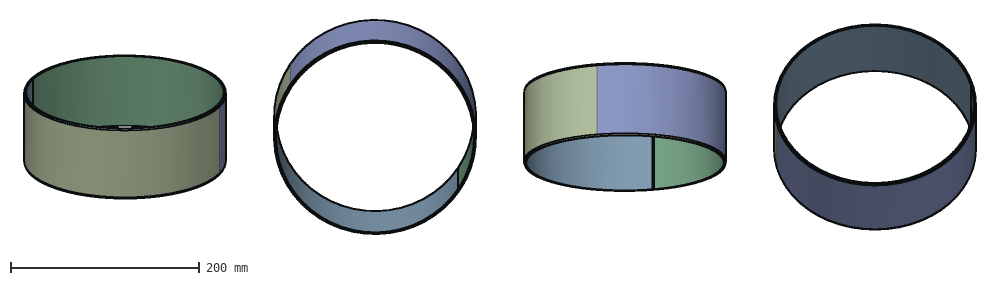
import cadquery as cq

outer_diameter = 215.0
wall = 2.5
height = 80.0
outer_chamfer_length = 2.0
outer_chamfer_depth = 0.6
inner_chamfer = 0.5
slit_width = 1.7

outer_radius = outer_diameter / 2
inner_radius = outer_radius - wall
half_height = height / 2


def sleeve():
    """Revolve the wall section, with all four of its corners chamfered."""
    outer_rim_radius = outer_radius - outer_chamfer_depth
    inner_rim_radius = inner_radius + inner_chamfer
    outer_chamfer_z = half_height - outer_chamfer_length
    inner_chamfer_z = half_height - inner_chamfer
    section = (
        cq.Workplane("XZ")
        .moveTo(inner_rim_radius, -half_height)
        .lineTo(outer_rim_radius, -half_height)
        .lineTo(outer_radius, -outer_chamfer_z)
        .lineTo(outer_radius, outer_chamfer_z)
        .lineTo(outer_rim_radius, half_height)
        .lineTo(inner_rim_radius, half_height)
        .lineTo(inner_radius, inner_chamfer_z)
        .lineTo(inner_radius, -inner_chamfer_z)
        .close()
    )
    return section.revolve(360, (0, 0, 0), (0, 1, 0))


def slit():
    """Full-height cutter on the -X side, with one face on the XZ plane."""
    return (
        cq.Workplane("XY")
        .box(outer_diameter, slit_width, height)
        .translate((-outer_radius, slit_width / 2, 0))
    )


result = sleeve().cut(slit())